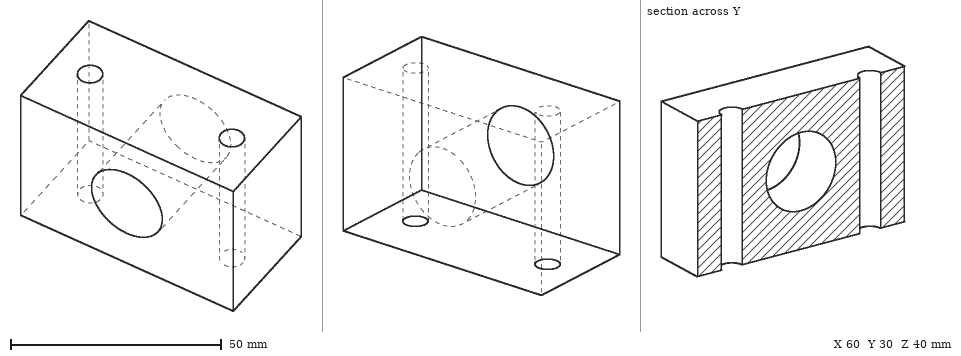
import cadquery as cq

length = 60.0
depth = 30.0
height = 40.0

bore_diameter = 20.0

mount_hole_diameter = 6.0
mount_hole_spacing = 40.0


def make_block():
    """Plain rectangular block centred on the origin."""
    return cq.Workplane("XY").box(length, depth, height)


def make_bore():
    """Cylinder that removes the central bore."""
    return cq.Workplane("XZ").circle(bore_diameter / 2).extrude(depth / 2, both=True)


def make_mount_holes():
    """Cylinders that remove the mounting holes on either side of the bore."""
    return (
        cq.Workplane("XY")
        .rarray(mount_hole_spacing, 1, 2, 1)
        .circle(mount_hole_diameter / 2)
        .extrude(height / 2, both=True)
    )


result = make_block().cut(make_bore()).cut(make_mount_holes())